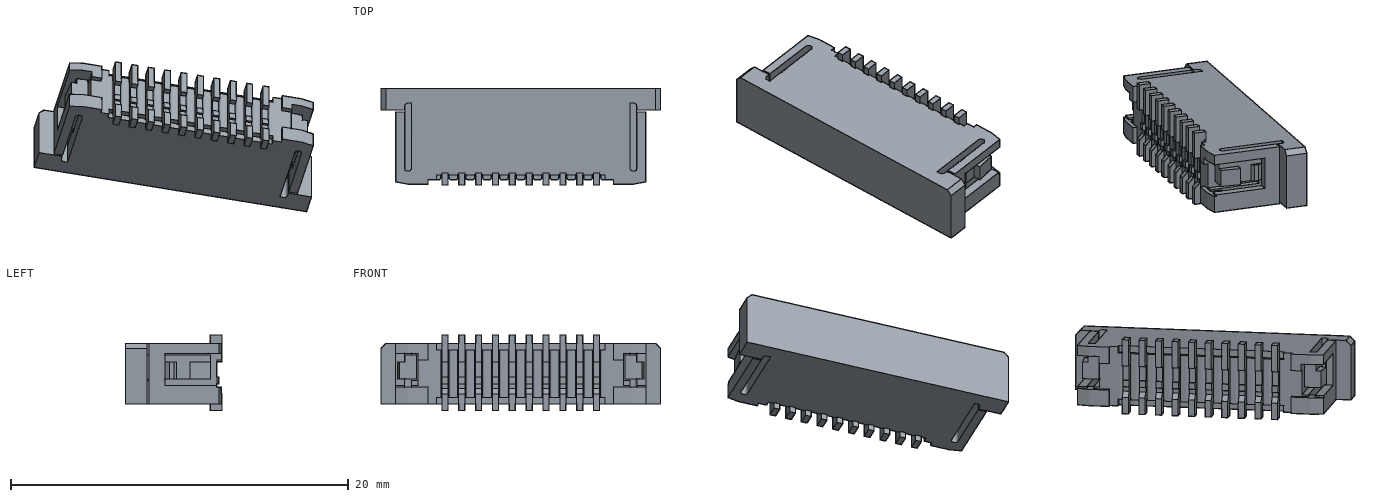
import cadquery as cq
import math


flange_width = 16.6
total_depth = 5.75
housing_height = 3.6
flange_front = 4.45
flange_chamfer = 0.3
body_half_width = 7.42
ear_front = 0.05
ear_chamfer_x = 0.75
ear_chamfer_y = 0.15
arm_gap = 0.1
overlap = 0.17

ear_inner_x = 5.5
face_y = 0.32
row_half_width = 5.0
row_back_y = 0.61
rib_bottom = 0.4
rib_top = 3.2

contact_count = 10
contact_pitch = 1.0
contact_width = 0.37
contact_depth = 0.71
contact_bottom = -0.4
contact_top = 4.1
rib_gap = 0.48
rib_edge_radius = 0.13
head_bottom = 2.5
tongue_top = 1.6
tongue_bottom = 1.2
tongue_y = 0.2
ramp_top = 0.91
ramp_bottom = 0.6

slot_outer_x = 6.89
slot_width = 0.42
slot_front = 0.83
slot_rear = 4.86
slot_corner_radius = 0.2
slot_inner_x = slot_outer_x - slot_width

pocket_inner_x = 6.1
pocket_bottom = 1.1
pocket_top = 3.0
window_rear = 3.4
lip_bottom = 1.0
lip_step_z = 2.6
bay_bottom = 1.4
bay_top = 2.9

lock_outer_x = 6.87
lock_inner_x = 6.2
lock_front = 0.7
lock_bottom = 1.5
latch_top = head_bottom
latch_rear = 1.91
latch_front_x = 7.19
latch_rear_x = 7.3
bump_x = 7.05
bump_front = 2.72
bump_flat_front = 2.87
bump_flat_rear = 3.14


def block(x_range, y_range, z_range):
    """Axis-aligned box given by its limits along each axis."""
    (x0, x1), (y0, y1), (z0, z1) = x_range, y_range, z_range
    return cq.Workplane("XY").box(x1 - x0, y1 - y0, z1 - z0, centered=False).translate((x0, y0, z0))


def plan_prism(points, bottom, top):
    """Closed XY outline raised from one height to another."""
    return cq.Workplane("XY").workplane(offset=bottom).polyline(points).close().extrude(top - bottom)


def both_sides(left):
    """A left-hand feature together with its mirror image."""
    return left.union(left.mirror("YZ"))


def contact_x(index):
    """Centre of one contact in the row, which is centred on X = 0."""
    return (index - (contact_count - 1) / 2) * contact_pitch


def housing_blank():
    """Rear flange, full-depth core and the body whose front corners are chamfered."""
    half_flange = flange_width / 2
    flange = block((-half_flange, half_flange), (flange_front, total_depth), (0, housing_height))
    flange = flange.edges("|Y and >Z").chamfer(flange_chamfer)
    core = block((-slot_outer_x, slot_outer_x), (ear_front + ear_chamfer_y, total_depth), (0, housing_height))
    shoulder_x = body_half_width - ear_chamfer_x
    body = plan_prism(
        [
            (-shoulder_x, ear_front),
            (shoulder_x, ear_front),
            (body_half_width, ear_front + ear_chamfer_y),
            (body_half_width, flange_front - arm_gap),
            (-body_half_width, flange_front - arm_gap),
            (-body_half_width, ear_front + ear_chamfer_y),
        ],
        0,
        housing_height,
    )
    return flange.union(core).union(body)


def contact_row_recess():
    """Shallow front recess, cut deeper above and below the ribs."""
    full_height = (-overlap, housing_height + overlap)
    face = block((-ear_inner_x, ear_inner_x), (-overlap, face_y), full_height)
    row_x = (-row_half_width, row_half_width)
    above = block(row_x, (-overlap, row_back_y), (rib_top, full_height[1]))
    below = block(row_x, (-overlap, row_back_y), (full_height[0], rib_bottom))
    return face.union(above).union(below)


def contact_slot(x):
    """Clearance around one contact, flared by the rounded edges of the neighbouring ribs."""
    half_gap = rib_gap / 2
    half_mouth = half_gap + rib_edge_radius
    round_end = face_y + rib_edge_radius
    round_mid = rib_edge_radius * (1 - math.cos(math.radians(45)))
    return (
        cq.Workplane("XY")
        .workplane(offset=rib_bottom)
        .moveTo(x - half_mouth, face_y)
        .threePointArc((x - half_gap - round_mid, face_y + round_mid), (x - half_gap, round_end))
        .lineTo(x - half_gap, contact_depth)
        .lineTo(x + half_gap, contact_depth)
        .lineTo(x + half_gap, round_end)
        .threePointArc((x + half_gap + round_mid, face_y + round_mid), (x + half_mouth, face_y))
        .close()
        .extrude(rib_top - rib_bottom)
    )


def contact(x):
    """Upright contact with a forward tongue in its waist and a sloped lower shoulder."""
    return (
        cq.Workplane("YZ")
        .moveTo(0, ramp_bottom)
        .lineTo(face_y, ramp_top)
        .lineTo(face_y, tongue_bottom)
        .lineTo(tongue_y, tongue_bottom)
        .lineTo(tongue_y, tongue_top)
        .lineTo(face_y, tongue_top)
        .lineTo(face_y, head_bottom)
        .lineTo(0, head_bottom)
        .lineTo(0, contact_top)
        .lineTo(contact_depth, contact_top)
        .lineTo(contact_depth, contact_bottom)
        .lineTo(0, contact_bottom)
        .close()
        .extrude(contact_width / 2, both=True)
        .translate((x, 0, 0))
    )


def arm_slot():
    """Left slot: round front end, one rounded rear corner, open to the gap behind the arm."""
    end_radius = slot_width / 2
    front_y = slot_front + end_radius
    height = (-overlap, housing_height + overlap)
    channel = block((-slot_outer_x, -slot_inner_x), (front_y, slot_rear), height)
    channel = channel.edges("|Z and >Y and <X").fillet(slot_corner_radius)
    front_end = (
        cq.Workplane("XY")
        .workplane(offset=height[0])
        .center(-slot_outer_x + end_radius, front_y)
        .circle(end_radius)
        .extrude(height[1] - height[0])
    )
    return channel.union(front_end)


def side_pocket():
    """Left pocket: arm window open to the front, lip step, floor channel and the bay for the lock plate."""
    outer = -body_half_width - overlap
    front = -overlap
    window = block((outer, -pocket_inner_x), (front, window_rear), (pocket_bottom, pocket_top))
    bay = block((-slot_inner_x, -pocket_inner_x), (front, slot_rear), (bay_bottom, bay_top))
    lip_step = block((outer, -ear_inner_x), (front, face_y), (lip_bottom, lip_step_z))
    floor_end = slot_front + slot_width / 2
    floor_channel = block((-slot_outer_x, -slot_inner_x), (front, floor_end), (lip_bottom, pocket_top))
    return window.union(bay).union(lip_step).union(floor_channel)


def lock_plate():
    """Left lock plate with a tapered latch at the front and a small bump behind it."""
    plate = block((-lock_outer_x, -lock_inner_x), (lock_front, slot_rear), (lock_bottom, bay_top))
    latch = plan_prism(
        [
            (-lock_outer_x, lock_front),
            (-latch_front_x, lock_front),
            (-latch_rear_x, latch_rear),
            (-lock_outer_x, latch_rear),
        ],
        lock_bottom,
        latch_top,
    )
    bump = plan_prism(
        [
            (-lock_outer_x, bump_front),
            (-bump_x, bump_flat_front),
            (-bump_x, bump_flat_rear),
            (-lock_outer_x, window_rear),
        ],
        lock_bottom,
        latch_top,
    )
    return plate.union(latch).union(bump)


result = housing_blank().cut(contact_row_recess())
result = result.cut(both_sides(arm_slot())).cut(both_sides(side_pocket()))

for index in range(contact_count):
    position = contact_x(index)
    result = result.cut(contact_slot(position)).union(contact(position))

result = result.union(both_sides(lock_plate()))